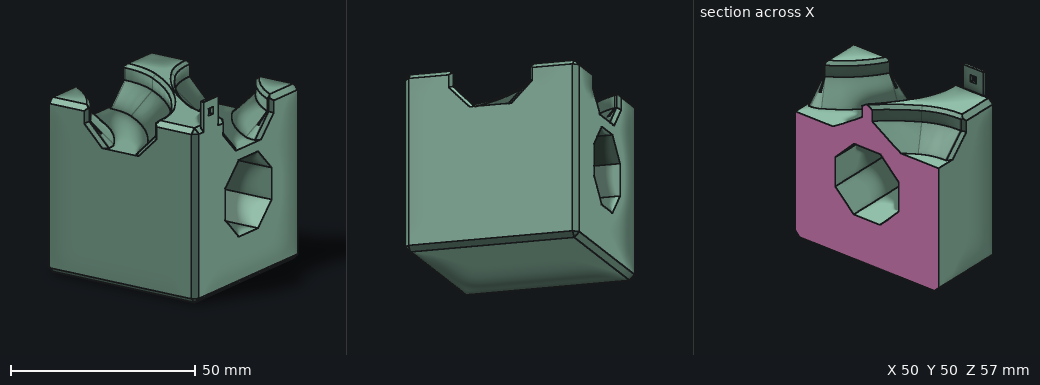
import cadquery as cq
import math


side = 50.0
half_side = side / 2
edge_chamfer = 1.5

octagon_apothem = 11.0
rim_chamfer = 1.0
corner_ratio = math.tan(math.radians(22.5))
half_flat = octagon_apothem * corner_ratio

lead_length = edge_chamfer
end_bend_radius = octagon_apothem
end_bend_angle = 30
middle_bend_angle = 90 - 2 * end_bend_angle

tab_height = 57 - side
tab_width = 7.0
tab_thickness = 1.0
tab_center_from_front = 7.25
tab_hole = 2.0


def half_octagon(apothem):
    """Lower right half of a channel section, from the floor up to the wall top (offset, height).

    The floor stays at the channel depth for any apothem; only the sides move outward.
    """
    floor_half_width = apothem * math.sqrt(2) - octagon_apothem
    return [
        (floor_half_width, -octagon_apothem),
        (apothem, -apothem * corner_ratio),
        (apothem, 0),
    ]


def mirrored(points):
    return [(-offset, height) for offset, height in reversed(points)] + points


def swing(section, center, radius, start_angle, sweep_angle):
    """Revolve a channel section about a vertical axis through center."""
    points = [(radius + offset, height) for offset, height in section]
    return (
        cq.Workplane("XZ")
        .polyline(points)
        .close()
        .revolve(sweep_angle, (0, 0), (0, 1))
        .rotate((0, 0, 0), (0, 0, 1), start_angle)
        .translate((center[0], center[1], 0))
    )


def make_channel():
    """Solid of one channel around a cube corner at the origin, with its top at Z = 0."""
    rim = octagon_apothem + rim_chamfer
    walls = half_octagon(octagon_apothem)
    chamfered_walls = walls[:-1] + [(octagon_apothem, -rim_chamfer), (rim, 0)]
    full_section = mirrored(chamfered_walls)

    bend_section = mirrored(walls)[:3] + chamfered_walls

    end_center = (lead_length, half_side - end_bend_radius)
    sine = math.sin(math.radians(end_bend_angle))
    cosine = math.cos(math.radians(end_bend_angle))
    bend_end_x = end_center[0] + end_bend_radius * sine
    bend_end_y = end_center[1] + end_bend_radius * cosine
    middle_radius = (bend_end_y - bend_end_x) / (cosine - sine)
    middle_offset = bend_end_x - middle_radius * sine

    wall_plane = cq.Workplane("YZ", origin=(0, half_side, 0))
    lead = wall_plane.polyline(full_section).close().extrude(lead_length)
    mouth = (
        wall_plane.polyline(mirrored(half_octagon(rim))).close()
        .workplane(offset=rim_chamfer)
        .polyline(mirrored(walls)).close()
        .loft(ruled=True)
    )
    end_bend = swing(bend_section, end_center, end_bend_radius, 90 - end_bend_angle, end_bend_angle)
    entry = lead.union(mouth).union(end_bend)

    middle_bend = swing(
        full_section, (middle_offset, middle_offset), middle_radius, end_bend_angle, middle_bend_angle
    )
    return middle_bend.union(entry).union(entry.mirror((1, -1, 0)))


def make_block():
    block = cq.Workplane("XY").box(side, side, side, centered=(True, True, False))
    return block.edges().chamfer(edge_chamfer)


def make_through_hole():
    """Octagonal prism along X through the cube centre."""
    flats = [
        (half_flat, -octagon_apothem),
        (octagon_apothem, -half_flat),
        (octagon_apothem, half_flat),
        (half_flat, octagon_apothem),
    ]
    return (
        cq.Workplane("YZ", origin=(-half_side, 0, side / 2))
        .polyline(mirrored(flats))
        .close()
        .extrude(side)
    )


def make_tab():
    """Thin upright plate flush with the +X side, rooted in the edge chamfer, with a square hole."""
    tab_plane = cq.Workplane("YZ", origin=(half_side - tab_thickness, tab_center_from_front - half_side, side))
    root = edge_chamfer
    plate = (
        tab_plane.center(0, (tab_height - root) / 2)
        .rect(tab_width, tab_height + root)
        .extrude(tab_thickness)
    )
    hole = tab_plane.center(0, tab_height / 2).rect(tab_hole, tab_hole).extrude(tab_thickness)
    return plate.cut(hole)


front_left_channel = make_channel().translate((-half_side, -half_side, side))
back_right_channel = front_left_channel.rotate((0, 0, 0), (0, 0, 1), 180)

result = (
    make_block()
    .cut(front_left_channel)
    .cut(back_right_channel)
    .cut(make_through_hole())
    .union(make_tab())
)